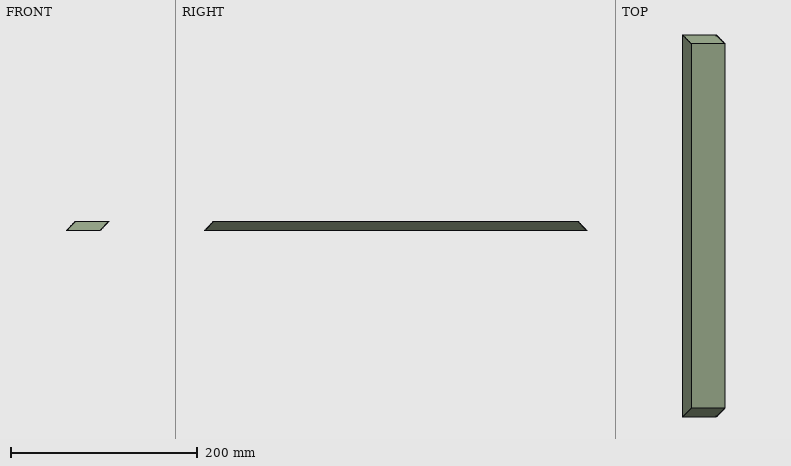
import cadquery as cq

overall_width = 45.49
face_width = 36.0
length = 409.0
thickness = 10.0

slope_run = overall_width - face_width
half_length = length / 2


def leaning_bar():
    """Bar with a parallelogram section in XZ, extruded along Y."""
    section = [
        (0, 0),
        (face_width, 0),
        (overall_width, thickness),
        (slope_run, thickness),
    ]
    return cq.Workplane("XZ").polyline(section).close().extrude(half_length, both=True)


def end_slopes():
    """Trapezoidal prism across the full width whose ends slope inward towards the top."""
    top_half_length = half_length - slope_run
    profile = [
        (-half_length, 0),
        (half_length, 0),
        (top_half_length, thickness),
        (-top_half_length, thickness),
    ]
    return cq.Workplane("YZ").polyline(profile).close().extrude(overall_width)


result = leaning_bar().intersect(end_slopes())